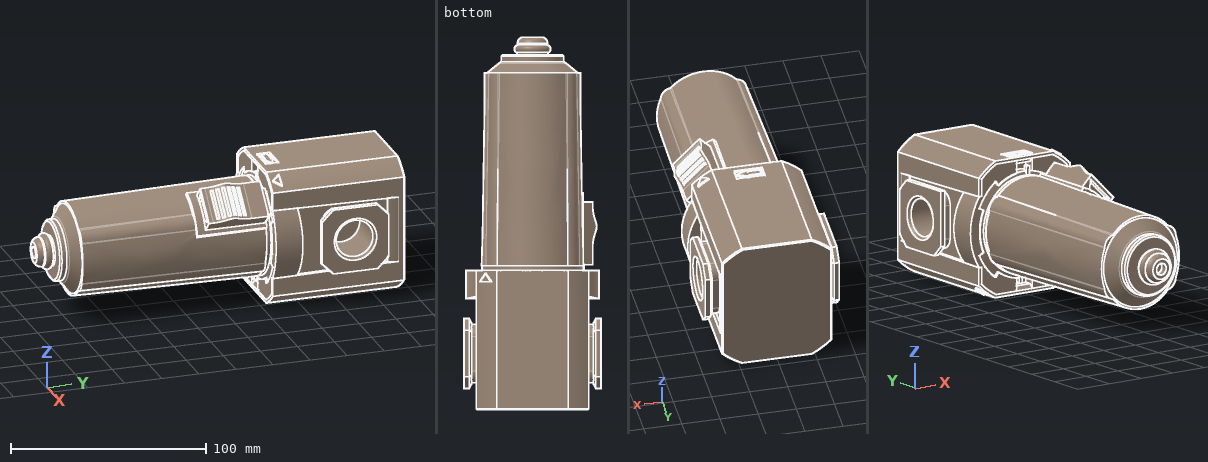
import cadquery as cq
import math


TOTAL_LENGTH = 190.7

COVER_HALF_WIDTH = 28.8
COVER_HALF_HEIGHT = 36.0
COVER_CORNER_RADIUS = 40.5
COVER_LENGTH = 71.3
COVER_WALL = 1.7
COVER_EDGE_CHAMFER = 0.5

WINDOW_BACK = COVER_LENGTH - 9.0
WINDOW_BACK_HALF_HEIGHT = 17.7
WINDOW_FRONT_HALF_HEIGHT = 18.7
WINDOW_RAMP_LENGTH = 5.3
WINDOW_RAMP_DEPTH = 1.1

MARK_AZIMUTH = 54
MARK_HEIGHT = 0.8
MARK_HALF_WIDTH = 3.5
MARK_TIP = 1.5
MARK_BASE = 5.7
ARROW_PANEL_LENGTH = 14.7
ARROW_PANEL_WIDTH = 7.0
ARROW_PANEL_CENTRE = 6.9
ARROW_PANEL_DEPTH = 1.0
ARROW_HALF_LENGTH = 6.9
ARROW_SHAFT_HALF_WIDTH = 1.5
ARROW_HEAD_HALF_WIDTH = 2.7
ARROW_HEAD_START = 0.5
ARROW_TAIL_NOTCH = 1.1

PORT_FACE = 35.0
PORT_CENTRE = COVER_LENGTH - 28.8
FLANGE_HALF_LENGTH = 18.0
FLANGE_HALF_HEIGHT = 17.5
FLANGE_CORNER = 6.0
FLANGE_THICKNESS = 2.7
FLANGE_BEVEL_THICKNESS = 1.3
FLANGE_BEVEL_INSET = 2.5
NECK_SIDE = 30.1
NECK_FILLET = 6.3
NECK_ROOT = 2.0
PORT_RADIUS = 10.0
PORT_CHAMFER = 1.5
PORT_DEPTH = 22.9

RING_RADIUS = 34.1
RING_LENGTH = 14.5
RING_BACK_SAG = 1.1
BORE_RADIUS = 28.0
BORE_DEPTH = 9.5
NOTCH_RADIUS = 31.0
NOTCH_SPAN = 31
NOTCH_AZIMUTHS = (39, 141, 219, 321)
NOTCH_DEPTH = 1.3
STOP_AZIMUTHS = (90, 270)
SLOT_WIDTH = 10.0
SLOT_TOP = 32.2
SLOT_DEPTH = 5.7
SLOT_LEAD_IN = 2.0

BOWL_END = -101.0
BOWL_DRAFT = 0.9
BOWL_HALF_SIZE = 26.1
BOWL_TOP_EDGE = (18.1, 18.3)
BOWL_RIDGE = (22.3, 15.6)
BOWL_SIDE_EDGE = (24.0, 11.5)
COLLAR_LENGTH = 2.3
COLLAR_RADIUS = 26.0
CONE_LARGE_RADIUS = 23.3
CONE_END = -106.0
CONE_SMALL_RADIUS = 17.2
NUB_RADIUS = 16.0
NUB_STEP = 0.8
NUB_END = -110.5
NUB_CHAMFER = 1.0
PIN_OFFSET = 2.3
PIN_WIDTH = 2.1
PIN_TOP = 30.7
PIN_LENGTH = 2.0
PIN_FILLET = 0.8

BUTTON_AZIMUTH = 45
PAD_RADIUS = 27.5
PAD_HALF_WIDTH = 12.2
PAD_END = -39.7
BUTTON_HALF_WIDTH = 10.0
BUTTON_TOP = 33.8
BUTTON_BACK = -2.9
BUTTON_FRONT = -35.0
CREST_BACK = -12.0
CREST_FRONT = -32.8
CREST_HEIGHT = 2.9
RIB_GROOVES = 6
RIB_PITCH = 2.9
GROOVE_WIDTH = 1.3
GROOVE_DEPTH = 1.0
GROOVE_HALF_LENGTH = 8.0
RECESS_BOTTOM = 27.7
RECESS_TOP = 31.7
RECESS_BOTTOM_HALF_WIDTH = 5.5
RECESS_TOP_HALF_WIDTH = 8.4
RECESS_DEPTH = 3.8
TONGUE_TOP = 30.1
TONGUE_HALF_WIDTH = 7.2

KNOB_END = COVER_LENGTH - TOTAL_LENGTH
KNOB_NECK_RADIUS = 8.0
BEAD_BACK = -111.5
BEAD_FRONT = -115.4
BEAD_SHOULDER_RADIUS = 8.5
LIP_START = -116.1
LIP_DOME_POINT = (7.2, -117.9)
KNOB_RADIUS = 9.3
KNOB_GROOVE_RADIUS = 7.5
KNOB_LIP_RADIUS = 7.8
KNOB_TIP_RADIUS = 5.3
KNOB_HOLE_RADIUS = 3.0
KNOB_HOLE_DEPTH = 3.8


def along_y(start):
    """Sketch plane across the filter axis; local x is X, local y is Z, extrusion runs towards -Y."""
    return cq.Workplane("XZ", origin=(0, start, 0))


def cylinder(radius, front, back):
    return along_y(back).circle(radius).extrude(back - front)


def turn(shape, azimuth):
    """Turn a shape built on the +Z side so that it points to the given azimuth."""
    return shape.rotate((0, 0, 0), (0, 1, 0), 90 - azimuth)


def head_block(inset, back):
    """Head outline, drawn in by the inset: a rectangle whose corners lie on a circle."""
    block = along_y(back).rect(2 * (COVER_HALF_WIDTH - inset), 2 * (COVER_HALF_HEIGHT - inset)).extrude(back)
    return block.intersect(cylinder(COVER_CORNER_RADIUS - inset, 0, back))


def window_prism(back):
    """Tapered bar through both side windows, from the front face to the given depth."""
    slope = (WINDOW_FRONT_HALF_HEIGHT - WINDOW_BACK_HALF_HEIGHT) / WINDOW_BACK
    back_half = WINDOW_FRONT_HALF_HEIGHT - slope * back
    outline = [
        (0, -WINDOW_FRONT_HALF_HEIGHT),
        (back, -back_half),
        (back, back_half),
        (0, WINDOW_FRONT_HALF_HEIGHT),
    ]
    return cq.Workplane("YZ").polyline(outline).close().extrude(PORT_FACE, both=True)


def window_ramp():
    """Cut on the +X side that curves the cover's side down to the back end of its window."""
    ramp_end = WINDOW_BACK + WINDOW_RAMP_LENGTH
    floor = COVER_HALF_WIDTH - WINDOW_RAMP_DEPTH
    ramp = cq.Workplane("XY").moveTo(COVER_HALF_WIDTH, ramp_end)
    quarter_drop = COVER_HALF_WIDTH - WINDOW_RAMP_DEPTH / 4
    ramp = ramp.threePointArc((quarter_drop, WINDOW_BACK + WINDOW_RAMP_LENGTH / 2), (floor, WINDOW_BACK))
    return ramp.lineTo(COVER_HALF_WIDTH, WINDOW_BACK).close().extrude(WINDOW_BACK_HALF_HEIGHT, both=True)


def flow_arrow():
    """Recess in the cover's top around a raised arrow that points to +X."""
    floor = COVER_HALF_HEIGHT - ARROW_PANEL_DEPTH
    plane = cq.Workplane("XY", origin=(0, ARROW_PANEL_CENTRE, floor))
    panel = plane.rect(ARROW_PANEL_LENGTH, ARROW_PANEL_WIDTH).extrude(ARROW_PANEL_DEPTH)
    outline = [
        (ARROW_HALF_LENGTH, 0),
        (ARROW_HEAD_START, ARROW_HEAD_HALF_WIDTH),
        (ARROW_HEAD_START, ARROW_SHAFT_HALF_WIDTH),
        (-ARROW_HALF_LENGTH, ARROW_SHAFT_HALF_WIDTH),
        (-ARROW_HALF_LENGTH + ARROW_TAIL_NOTCH, 0),
        (-ARROW_HALF_LENGTH, -ARROW_SHAFT_HALF_WIDTH),
        (ARROW_HEAD_START, -ARROW_SHAFT_HALF_WIDTH),
        (ARROW_HEAD_START, -ARROW_HEAD_HALF_WIDTH),
    ]
    return panel.cut(plane.polyline(outline).close().extrude(ARROW_PANEL_DEPTH))


def corner_mark(azimuth):
    """Raised triangle on a rounded corner, with its tip towards the front."""
    outline = [(0, MARK_TIP), (MARK_HALF_WIDTH, MARK_BASE), (-MARK_HALF_WIDTH, MARK_BASE)]
    base = COVER_CORNER_RADIUS - COVER_WALL / 2
    mark = cq.Workplane("XY", origin=(0, 0, base)).polyline(outline).close()
    mark = mark.extrude(COVER_WALL / 2 + MARK_HEIGHT)
    return turn(mark, azimuth)


def make_cover():
    cover = head_block(0, COVER_LENGTH).faces(">Y").chamfer(COVER_EDGE_CHAMFER)
    cover = cover.cut(head_block(COVER_WALL, COVER_LENGTH - COVER_WALL))
    cover = cover.cut(window_prism(WINDOW_BACK)).cut(flow_arrow())
    cover = cover.cut(window_ramp()).cut(window_ramp().mirror("YZ"))
    for azimuth in (MARK_AZIMUTH, MARK_AZIMUTH + 180):
        cover = cover.union(corner_mark(azimuth))
    return cover


def make_port(square_front_top):
    """Port on the +X side: bevelled flange with cut corners on a rounded square neck."""
    root = COVER_HALF_WIDTH - COVER_WALL - NECK_ROOT
    bevel_start = PORT_FACE - FLANGE_THICKNESS
    neck = cq.Workplane("YZ", origin=(root, PORT_CENTRE, 0)).rect(NECK_SIDE, NECK_SIDE)
    neck = neck.extrude(bevel_start - root).edges("|X").fillet(NECK_FILLET)

    length = FLANGE_HALF_LENGTH
    height = FLANGE_HALF_HEIGHT
    if square_front_top:
        front_top = [(-length, height)]
    else:
        front_top = [(-length, height - FLANGE_CORNER), (-length + FLANGE_CORNER, height)]
    outline = front_top + [
        (length - FLANGE_CORNER, height),
        (length, height - FLANGE_CORNER),
        (length, FLANGE_CORNER - height),
        (length - FLANGE_CORNER, -height),
        (FLANGE_CORNER - length, -height),
        (-length, FLANGE_CORNER - height),
    ]
    bevel_angle = math.degrees(math.atan2(FLANGE_BEVEL_INSET, FLANGE_BEVEL_THICKNESS))
    flange_back = cq.Workplane("YZ", origin=(bevel_start, PORT_CENTRE, 0))
    flange = flange_back.polyline(outline).close().extrude(FLANGE_THICKNESS)
    bevel = flange_back.polyline(outline).close().extrude(-FLANGE_BEVEL_THICKNESS, taper=bevel_angle)
    return neck.union(flange).union(bevel)


def port_hole():
    """Blind hole on the +X side with a chamfered mouth."""
    profile = [
        (0, PORT_FACE),
        (PORT_RADIUS + PORT_CHAMFER, PORT_FACE),
        (PORT_RADIUS, PORT_FACE - PORT_CHAMFER),
        (PORT_RADIUS, PORT_FACE - PORT_DEPTH),
        (0, PORT_FACE - PORT_DEPTH),
    ]
    plane = cq.Plane(origin=(0, PORT_CENTRE, 0), xDir=(0, 1, 0), normal=(0, 0, -1))
    return cq.Workplane(plane).polyline(profile).close().revolve(360, (0, 0, 0), (0, 1, 0))


def side_ring():
    """Round sectors that bulge out through the side windows; their back edge is bowed."""
    edge = RING_LENGTH - RING_BACK_SAG
    bow = cq.Workplane("YZ").moveTo(0, -WINDOW_FRONT_HALF_HEIGHT).lineTo(edge, -WINDOW_FRONT_HALF_HEIGHT)
    bow = bow.threePointArc((RING_LENGTH, 0), (edge, WINDOW_FRONT_HALF_HEIGHT))
    bow = bow.lineTo(0, WINDOW_FRONT_HALF_HEIGHT).close().extrude(RING_RADIUS, both=True)
    return cylinder(RING_RADIUS, 0, RING_LENGTH).intersect(window_prism(RING_LENGTH)).intersect(bow)


def bayonet_notch(azimuth):
    """Sector cut into the rim of the bore."""
    half_span = math.radians(NOTCH_SPAN / 2)
    reach = NOTCH_RADIUS * math.cos(half_span)
    half_width = NOTCH_RADIUS * math.sin(half_span)
    sector = along_y(NOTCH_DEPTH).moveTo(0, 0).lineTo(half_width, reach)
    sector = sector.threePointArc((0, NOTCH_RADIUS), (-half_width, reach)).close().extrude(NOTCH_DEPTH)
    return turn(sector, azimuth)


def bowl_socket():
    """Bore for the bowl's spigot with the bayonet notches in its rim."""
    socket = cylinder(BORE_RADIUS, 0, BORE_DEPTH)
    for azimuth in NOTCH_AZIMUTHS:
        socket = socket.union(bayonet_notch(azimuth))
    return socket


def stop_slot(azimuth):
    """Slot above the bore for a stop pin of the bowl, with a sloped lead-in at the cover."""
    top = COVER_HALF_HEIGHT - COVER_WALL
    outline = [(0, 0), (0, top), (SLOT_LEAD_IN, SLOT_TOP), (SLOT_DEPTH, SLOT_TOP), (SLOT_DEPTH, 0)]
    slot = cq.Workplane("YZ").polyline(outline).close().extrude(SLOT_WIDTH / 2, both=True)
    return turn(slot, azimuth)


def make_body():
    body = head_block(COVER_WALL, COVER_LENGTH - COVER_WALL).union(side_ring())
    body = body.union(make_port(False)).union(make_port(True).mirror("YZ"))
    body = body.cut(port_hole()).cut(port_hole().mirror("YZ"))
    body = body.cut(bowl_socket())
    for azimuth in STOP_AZIMUTHS:
        body = body.cut(stop_slot(azimuth))
    return body


def bowl_jacket():
    """Tapered shell of four bowed sides joined by four rounded ridges."""
    half = BOWL_HALF_SIZE
    top_x, top_z = BOWL_TOP_EDGE
    ridge_x, ridge_z = BOWL_RIDGE
    side_x, side_z = BOWL_SIDE_EDGE
    outline = (
        along_y(-COLLAR_LENGTH)
        .moveTo(-top_x, top_z)
        .threePointArc((0, half), (top_x, top_z))
        .threePointArc((ridge_x, ridge_z), (side_x, side_z))
        .threePointArc((half, 0), (side_x, -side_z))
        .threePointArc((ridge_x, -ridge_z), (top_x, -top_z))
        .threePointArc((0, -half), (-top_x, -top_z))
        .threePointArc((-ridge_x, -ridge_z), (-side_x, -side_z))
        .threePointArc((-half, 0), (-side_x, side_z))
        .threePointArc((-ridge_x, ridge_z), (-top_x, top_z))
        .close()
    )
    return outline.extrude(-COLLAR_LENGTH - BOWL_END, taper=BOWL_DRAFT)


def bowl_spigot():
    """Flared end of the bowl that fills the head's bore and has a tab in each bayonet notch."""
    profile = [
        (0, 0),
        (COLLAR_RADIUS, 0),
        (NOTCH_RADIUS, NOTCH_DEPTH),
        (NOTCH_RADIUS, BORE_DEPTH),
        (0, BORE_DEPTH),
    ]
    flare = cq.Workplane("XY").polyline(profile).close().revolve(360, (0, 0, 0), (0, 1, 0))
    return flare.intersect(bowl_socket())


def bowl_core():
    """Turned parts of the bowl: the collar, the end cone and the nub."""
    profile = [
        (0, 0),
        (COLLAR_RADIUS, 0),
        (COLLAR_RADIUS, -COLLAR_LENGTH),
        (CONE_LARGE_RADIUS, -COLLAR_LENGTH),
        (CONE_LARGE_RADIUS, BOWL_END),
        (CONE_SMALL_RADIUS, CONE_END),
        (NUB_RADIUS, CONE_END - NUB_STEP),
        (NUB_RADIUS, NUB_END + NUB_CHAMFER),
        (NUB_RADIUS - NUB_CHAMFER, NUB_END),
        (0, NUB_END),
    ]
    return cq.Workplane("XY").polyline(profile).close().revolve(360, (0, 0, 0), (0, 1, 0))


def button_pad():
    """Raised pad on the bowl with a round top under the lock button."""
    pad = along_y(-COLLAR_LENGTH).center(0, PAD_RADIUS / 2).rect(2 * PAD_HALF_WIDTH, PAD_RADIUS)
    pad = pad.extrude(-COLLAR_LENGTH - PAD_END).intersect(cylinder(PAD_RADIUS, PAD_END, -COLLAR_LENGTH))
    return turn(pad, BUTTON_AZIMUTH)


def stop_pin(azimuth):
    """Round-topped pin that stands up from the bowl's spigot into a stop slot."""
    pin = along_y(PIN_LENGTH).center(PIN_OFFSET, PIN_TOP / 2).rect(PIN_WIDTH, PIN_TOP).extrude(PIN_LENGTH)
    return turn(pin.edges("|Y and >Z").fillet(PIN_FILLET), azimuth)


def make_bowl():
    bowl = bowl_core().union(bowl_spigot()).union(bowl_jacket()).union(button_pad())
    for azimuth in STOP_AZIMUTHS:
        bowl = bowl.union(stop_pin(azimuth))
    return bowl


def button_side_profile(drop):
    """Button as a solid bar of constant cross-section along its width, lowered by the drop."""
    top = BUTTON_TOP - drop
    crest = ((CREST_BACK + CREST_FRONT) / 2, top + CREST_HEIGHT)
    outline = cq.Workplane("YZ", origin=(-BUTTON_HALF_WIDTH, 0, 0)).moveTo(BUTTON_BACK, 0)
    outline = outline.lineTo(BUTTON_BACK, top).lineTo(CREST_BACK, top)
    outline = outline.spline([crest, (CREST_FRONT, top)], tangents=[(-1, 0), (-1, 0)], includeCurrent=True)
    outline = outline.lineTo(BUTTON_FRONT, top).lineTo(BUTTON_FRONT, 0).close()
    return outline.extrude(2 * BUTTON_HALF_WIDTH)


def grip_grooves():
    """Grooves of even depth across the crest."""
    middle = (CREST_BACK + CREST_FRONT) / 2
    first = middle - RIB_PITCH * (RIB_GROOVES - 1) / 2
    height = BUTTON_TOP + CREST_HEIGHT
    places = [(0, first + RIB_PITCH * index) for index in range(RIB_GROOVES)]
    bars = cq.Workplane("XY").pushPoints(places).rect(2 * GROOVE_HALF_LENGTH, GROOVE_WIDTH).extrude(height)
    return bars.cut(button_side_profile(GROOVE_DEPTH))


def front_recess():
    """Tapered recess in the button's front end."""
    outline = [
        (-RECESS_BOTTOM_HALF_WIDTH, RECESS_BOTTOM),
        (RECESS_BOTTOM_HALF_WIDTH, RECESS_BOTTOM),
        (RECESS_TOP_HALF_WIDTH, RECESS_TOP),
        (-RECESS_TOP_HALF_WIDTH, RECESS_TOP),
    ]
    return along_y(BUTTON_FRONT + RECESS_DEPTH).polyline(outline).close().extrude(RECESS_DEPTH)


def latch_tongue():
    """Tongue behind the button that reaches back to the head's front face."""
    tongue = along_y(0).center(0, TONGUE_TOP / 2).rect(2 * TONGUE_HALF_WIDTH, TONGUE_TOP)
    return tongue.extrude(-BUTTON_BACK)


def make_button():
    button = button_side_profile(0).union(latch_tongue()).cut(cylinder(PAD_RADIUS, BUTTON_FRONT, 0))
    button = button.cut(grip_grooves()).cut(front_recess())
    return turn(button, BUTTON_AZIMUTH)


def make_knob():
    """Turned drain knob with a round bead, a groove, a domed lip and a blind hole."""
    bead_middle = (BEAD_BACK + BEAD_FRONT) / 2
    outline = cq.Workplane("XY").moveTo(0, NUB_END).lineTo(KNOB_NECK_RADIUS, NUB_END)
    outline = outline.lineTo(KNOB_NECK_RADIUS, BEAD_BACK).lineTo(BEAD_SHOULDER_RADIUS, BEAD_BACK)
    outline = outline.threePointArc((KNOB_RADIUS, bead_middle), (KNOB_GROOVE_RADIUS, BEAD_FRONT))
    outline = outline.lineTo(KNOB_LIP_RADIUS, LIP_START)
    outline = outline.threePointArc(LIP_DOME_POINT, (KNOB_TIP_RADIUS, KNOB_END))
    outline = outline.lineTo(KNOB_HOLE_RADIUS, KNOB_END)
    outline = outline.lineTo(KNOB_HOLE_RADIUS, KNOB_END + KNOB_HOLE_DEPTH)
    outline = outline.lineTo(0, KNOB_END + KNOB_HOLE_DEPTH).close()
    return outline.revolve(360, (0, 0, 0), (0, 1, 0))


cover = make_cover()
body = make_body()
bowl = make_bowl()
button = make_button()
knob = make_knob()

bodies = (cover, body, bowl, button, knob)
result = cq.Compound.makeCompound([solid for part in bodies for solid in part.solids().vals()])